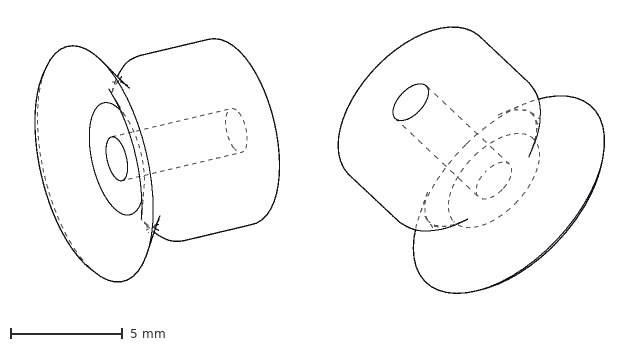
import cadquery as cq
import math


rim_radius = 5.4
rim_y = 0.32
back_y = 7.5
body_radius = 4.25
bore_radius = 1.0
cup_floor_radius = 2.57
neck_corner_radius = 2.91
lip_corner_y = -0.05

bevel_angle = 45.0
cup_angle = 59.0
flare_angle = 50.0
shoulder_angle = 52.0

lip_round = 0.2
neck_round = 0.7
shoulder_round = 0.5
back_round = 0.3

match_tolerance = 0.001


def cone_length(radius_change, half_angle):
    """Axial length over which a cone changes its radius by the given amount."""
    return radius_change / math.tan(math.radians(half_angle))


def round_corner(body, corner, radius):
    """Round the circular edge that passes through a profile corner."""
    corner_radius, corner_y = corner

    def passes_corner(edge):
        same_radius = abs(edge.radius() - corner_radius) < match_tolerance
        same_place = abs(edge.Center().y - corner_y) < match_tolerance
        return same_radius and same_place

    return body.edges("%CIRCLE").filter(passes_corner).fillet(radius)


lip_corner_radius = rim_radius - (rim_y - lip_corner_y) * math.tan(math.radians(bevel_angle))
cup_floor_y = lip_corner_y + cone_length(lip_corner_radius - cup_floor_radius, cup_angle)
neck_corner_y = rim_y + cone_length(rim_radius - neck_corner_radius, flare_angle)
shoulder_y = neck_corner_y + cone_length(body_radius - neck_corner_radius, shoulder_angle)

lip_corner = (lip_corner_radius, lip_corner_y)
neck_corner = (neck_corner_radius, neck_corner_y)
shoulder_corner = (body_radius, shoulder_y)
back_corner = (body_radius, back_y)

profile = cq.Workplane("XY").polyline([
    (bore_radius, cup_floor_y),
    (cup_floor_radius, cup_floor_y),
    lip_corner,
    (rim_radius, rim_y),
    neck_corner,
    shoulder_corner,
    back_corner,
    (bore_radius, back_y),
]).close()
body = profile.revolve(360, (0, 0, 0), (0, 1, 0))

body = round_corner(body, lip_corner, lip_round)
body = round_corner(body, neck_corner, neck_round)
body = round_corner(body, shoulder_corner, shoulder_round)
body = round_corner(body, back_corner, back_round)

result = body